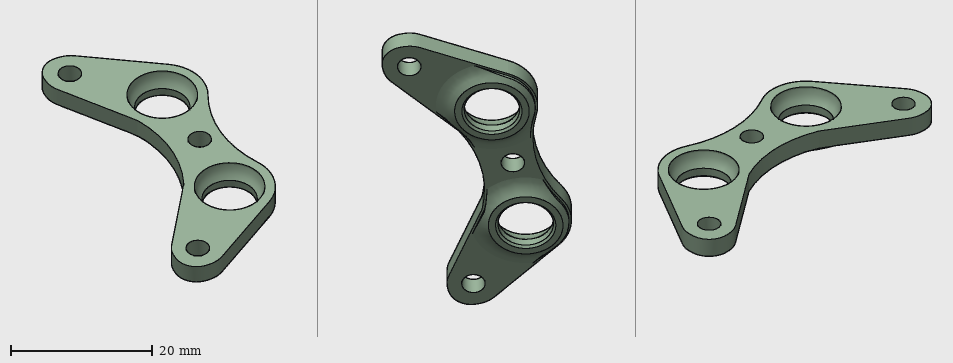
import cadquery as cq
import math

length = 48.8
width = 20.05
plate_thickness = 2.95
total_height = 4.0

seat_spacing = 21.65
end_hole_spacing = 41.2
end_hole_y = -9.8
center_hole_y = 0.6
small_hole_diameter = 3.3

seat_top_diameter = 10.0
seat_bore_diameter = 7.85
seat_rim_depth = 0.3
seat_depth = 2.4
seat_curve_sag = 0.25
boss_diameter = 10.6
boss_flare_diameter = 15.85
boss_flare_sag = 0.2
boss_edge_inset = 0.35
boss_overlap = 1.0
bore_chamfer = 0.35

shoulder_radius = 6.5
waist_top_y = 3.95
waist_bottom_y = -4.0
waist_bottom_half_width = 7.4
waist_bottom_rise = 1.55
foot_corner_radius = 3.3
foot_blend_radius = 4.15
outer_corner_rise = 5.05
lower_corner_run = 5.0

seat_x = seat_spacing / 2
half_length = length / 2
top_y = shoulder_radius
bottom_y = top_y - width
boss_height = total_height - plate_thickness


def tangent_from_point(point, center, radius):
    """Outer point where a line from the given point touches a circle."""
    dx = point[0] - center[0]
    dy = point[1] - center[1]
    angle = math.atan2(dy, dx) + math.acos(radius / math.hypot(dx, dy))
    return center[0] + radius * math.cos(angle), center[1] + radius * math.sin(angle)


def make_outline():
    """Closed plate outline, symmetric in X, with sharp feet."""
    rise = shoulder_radius - waist_top_y
    waist_radius = (seat_x**2 + waist_top_y**2 - shoulder_radius**2) / (2 * rise)
    waist_center_y = waist_top_y + waist_radius
    share = shoulder_radius / (shoulder_radius + waist_radius)
    waist_end_x = seat_x * (1 - share)
    waist_end_y = waist_center_y * share

    outer_corner = (half_length, bottom_y + outer_corner_rise)
    shoulder_end = tangent_from_point(outer_corner, (seat_x, 0), shoulder_radius)
    lower_corner_x = half_length - lower_corner_run
    waist_bottom_end_y = waist_bottom_y - waist_bottom_rise

    return (
        cq.Workplane("XY")
        .moveTo(-waist_end_x, waist_end_y)
        .threePointArc((0, waist_top_y), (waist_end_x, waist_end_y))
        .threePointArc((seat_x, top_y), shoulder_end)
        .lineTo(*outer_corner)
        .lineTo(half_length, bottom_y)
        .lineTo(lower_corner_x, bottom_y)
        .lineTo(waist_bottom_half_width, waist_bottom_end_y)
        .threePointArc((0, waist_bottom_y), (-waist_bottom_half_width, waist_bottom_end_y))
        .lineTo(-lower_corner_x, bottom_y)
        .lineTo(-half_length, bottom_y)
        .lineTo(-outer_corner[0], outer_corner[1])
        .lineTo(-shoulder_end[0], shoulder_end[1])
        .threePointArc((-seat_x, top_y), (-waist_end_x, waist_end_y))
        .close()
    )


def round_foot(body, side):
    """Round the three upright edges of one foot; side is -1 or 1."""
    corners = (
        (half_length, bottom_y + outer_corner_rise, foot_blend_radius),
        (half_length, bottom_y, foot_corner_radius),
        (half_length - lower_corner_run, bottom_y, foot_blend_radius),
    )
    for x, y, radius in corners:
        edge = cq.selectors.NearestToPointSelector((side * x, y, total_height / 2))
        body = body.edges("|Z").edges(edge).fillet(radius)
    return body


def make_prism(height):
    """Plate outline with rounded feet, extruded up from Z = 0."""
    body = make_outline().extrude(height)
    for side in (-1, 1):
        body = round_foot(body, side)
    return body


def revolve_about_seat(profile, side):
    """Turn a closed radius-height profile about a seat axis."""
    return profile.close().revolve(360, (0, 0, 0), (0, 1, 0)).translate((side * seat_x, 0, 0))


def make_boss(side):
    """Boss under a seat, flaring outward in a hollow curve up to the plate."""
    bottom_radius = boss_diameter / 2
    flare_radius = boss_flare_diameter / 2
    middle = ((bottom_radius + flare_radius) / 2 - boss_flare_sag, boss_height / 2 + boss_flare_sag)
    profile = (
        cq.Workplane("XZ")
        .lineTo(bottom_radius, 0)
        .threePointArc(middle, (flare_radius, boss_height))
        .lineTo(flare_radius, boss_height + boss_overlap)
        .lineTo(0, boss_height + boss_overlap)
    )
    return revolve_about_seat(profile, side)


def make_seat_cut(side):
    """Seat opening: short rim, hollow curved seat, then a bore with a chamfered mouth."""
    rim_radius = seat_top_diameter / 2
    bore_radius = seat_bore_diameter / 2
    rim_z = total_height - seat_rim_depth
    bore_z = total_height - seat_depth
    middle = ((rim_radius + bore_radius) / 2 + seat_curve_sag, (rim_z + bore_z) / 2)
    profile = (
        cq.Workplane("XZ")
        .lineTo(bore_radius + bore_chamfer, 0)
        .lineTo(bore_radius, bore_chamfer)
        .lineTo(bore_radius, bore_z)
        .threePointArc(middle, (rim_radius, rim_z))
        .lineTo(rim_radius, total_height)
        .lineTo(0, total_height)
    )
    return revolve_about_seat(profile, side)


prism = make_prism(total_height)
plate_space = cq.Workplane("XY").box(length, 2 * width, plate_thickness, centered=(True, True, False))
plate = prism.intersect(plate_space.translate((0, 0, boss_height)))

boss_limit = make_outline().offset2D(-boss_edge_inset).extrude(total_height)
result = plate
for side in (-1, 1):
    result = result.union(make_boss(side).intersect(boss_limit))
    result = result.cut(make_seat_cut(side))

hole_places = [
    (-end_hole_spacing / 2, end_hole_y),
    (0, center_hole_y),
    (end_hole_spacing / 2, end_hole_y),
]
small_holes = cq.Workplane("XY").pushPoints(hole_places).circle(small_hole_diameter / 2).extrude(total_height)
result = result.cut(small_holes)